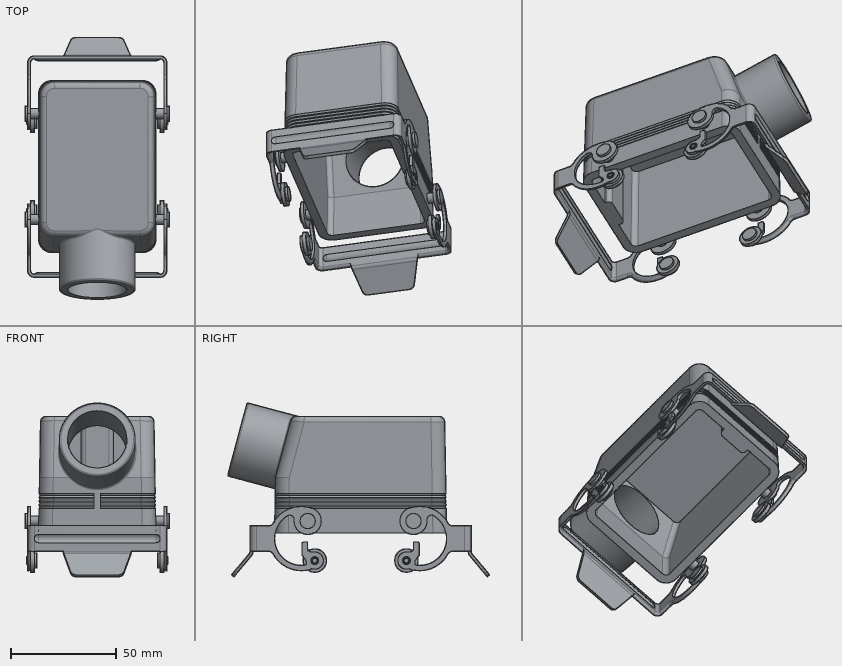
import cadquery as cq
import math


HOOD_LENGTH = 81.8
HOOD_WIDTH = 55.8
HOOD_HEIGHT = 55.5
CORNER_RADIUS = 6.6
TOP_FILLET = 2.9
DRAFT = math.tan(math.radians(1.0))
SLOPE_START = 26.4
ENTRY_ANGLE = 15.0
WALL = 4.1
FRONT_WALL = 5.2
ROOF = 4.0
SLOPE = math.tan(math.radians(ENTRY_ANGLE))

GROOVE_COUNT = 4
GROOVE_BOTTOM = 11.5
GROOVE_BAND = 7.2
GROOVE_PITCH = GROOVE_BAND / GROOVE_COUNT
GROOVE_DEPTH = 0.5
GROOVE_GAP = 3.2

RIB_WIDTH = 15.4
RIB_DEPTH = 3.1
RIB_ROUND = 2.1

MOUTH_Y = -58.5
MOUTH_Z = 44.5
ENTRY_RADIUS = 18.0
ENTRY_LENGTH = 31.1
BORE_RADIUS = 14.0
MOUTH_ROUND = 0.7
ROOT_FILLET = 0.5

SHEET = 1.5
LEVER_WIDTH = 66.1
LEVER_REACH = 52.6
STRIP_HEIGHT = 12.2
BEND_RADIUS = 3.2
RING_Y = 28.1
RING_Z = -2.6
RING_OUTER = 15.3
RING_INNER = 12.7
NECK_FILLET = 2.5
PIVOT_Y = 25.1
PIVOT_Z = 5.7
NOTCH_FILLET = 2.1
HOOK_RADIUS = 4.1
HOOK_NOTCH_FILLET = 1.0
HORN_OUTER_Y = 27.8
HORN_INNER_Y = 25.1
HORN_TOP = -4.2
HORN_FOOT = -10.6
HORN_ROUND = 0.7
HORN_FILLET = 1.7
PLATE_OUTER = LEVER_WIDTH / 2
PLATE_INNER = PLATE_OUTER - SHEET
STRIP_TOP = RING_Z + STRIP_HEIGHT / 2
STRIP_BOTTOM = RING_Z - STRIP_HEIGHT / 2
EYE_RADIUS = RING_OUTER - math.hypot(RING_Y - PIVOT_Y, RING_Z - PIVOT_Z)

BEAD_LENGTH = 55.8
BEAD_WIDTH = 4.0
BEAD_DEPTH = 0.9

TAB_ANGLE = 40.0
TAB_NECK = 0.7
TAB_LENGTH = 13.5
TAB_ROOT_WIDTH = 31.8
TAB_TIP_WIDTH = 24.1
TAB_ROUND = 2.7
TAB_BEND_RADIUS = 1.2
TAB_ROOT_FILLET = 1.2

PIN_RADIUS = 2.5
PIN_HEAD_RADIUS = 3.6
PIN_SPAN = 68.5
PIN_HEAD_FACE = PIN_SPAN / 2

ROLLER_Y = 21.8
ROLLER_Z = -13.0
ROLLER_RADIUS = 5.6
ROLLER_THICKNESS = 1.7
HUB_RADIUS = 3.6
HUB_THICKNESS = 1.1
STEM_RADIUS = 1.9
STEM_CHAMFER = 0.2
STEM_PROUD = 0.5
STEM_FACE = PLATE_OUTER + STEM_PROUD
STEM_RECESS_RADIUS = 1.1
STEM_RECESS_DEPTH = 0.4


def hood_section(z, inset, front, radius):
    """Wire of the rounded hood rectangle at height z, its sides and rear moved inwards by 'inset'."""
    half_width = HOOD_WIDTH / 2 - DRAFT * z - inset
    rear = HOOD_LENGTH / 2 - DRAFT * z - inset
    outline = cq.Sketch().rect(2 * half_width, rear - front).vertices().fillet(radius)
    placed = outline.reset().faces().val().moved(cq.Location(cq.Vector(0, (rear + front) / 2, z)))
    return placed.outerWire()


def upright_body(levels, wall=0.0):
    """Body with an upright front through (height, extra inset) levels, 'wall' inside the outer faces."""
    wires = []
    for z, depth in levels:
        inset = wall + depth
        front = -HOOD_LENGTH / 2 + DRAFT * z + inset
        wires.append(hood_section(z, inset, front, CORNER_RADIUS - wall))
    return cq.Workplane(cq.Solid.makeLoft(wires, True))


def leaning_body(top, wall=0.0, front_wall=0.0):
    """Body with a leaning front over the whole height, which trims the upright body above SLOPE_START."""
    kink = -HOOD_LENGTH / 2 + DRAFT * SLOPE_START
    wires = []
    for z in (0.0, top):
        front = kink + SLOPE * (z - SLOPE_START) + front_wall / math.cos(math.radians(ENTRY_ANGLE))
        wires.append(hood_section(z, wall, front, CORNER_RADIUS - wall))
    return cq.Workplane(cq.Solid.makeLoft(wires, True))


def make_shell():
    """Outer hood body with V grooves, interrupted by a plain strip at the front."""
    levels = [(0.0, 0.0)]
    for index in range(GROOVE_COUNT):
        edge = GROOVE_BOTTOM + index * GROOVE_PITCH
        levels.append((edge, 0.0))
        levels.append((edge + GROOVE_PITCH / 2, GROOVE_DEPTH))
    levels.append((GROOVE_BOTTOM + GROOVE_BAND, 0.0))
    levels.append((HOOD_HEIGHT, 0.0))
    shell = upright_body(levels).intersect(leaning_body(HOOD_HEIGHT))
    shell = shell.faces(">Z").edges().fillet(TOP_FILLET)
    plain = upright_body([(0.0, 0.0), (HOOD_HEIGHT, 0.0)])
    strip = cq.Workplane().box(GROOVE_GAP, HOOD_LENGTH / 2, GROOVE_BAND, centered=(True, False, False))
    strip = strip.translate((0, -HOOD_LENGTH / 2, GROOVE_BOTTOM))
    return shell.union(plain.intersect(strip))


def entry_plane():
    """Plane of the entry mouth; its normal runs inwards along the entry axis."""
    angle = math.radians(ENTRY_ANGLE)
    inward = (0, math.cos(angle), -math.sin(angle))
    return cq.Plane(origin=(0, MOUTH_Y, MOUTH_Z), xDir=(1, 0, 0), normal=inward)


def make_entry():
    """Round entry neck, still solid, with a rounded mouth edge."""
    neck = cq.Workplane(entry_plane()).circle(ENTRY_RADIUS).extrude(ENTRY_LENGTH)
    return neck.edges(cq.NearestToPointSelector((0, MOUTH_Y, MOUTH_Z))).fillet(MOUTH_ROUND)


def make_cavity():
    """Hollow of the hood with a rounded rib left standing on the rear wall."""
    cavity_top = HOOD_HEIGHT - ROOF
    cavity = upright_body([(0.0, 0.0), (cavity_top, 0.0)], WALL)
    cavity = cavity.intersect(leaning_body(cavity_top, WALL, FRONT_WALL))
    rib_face = HOOD_LENGTH / 2 - WALL - RIB_DEPTH
    rib = cq.Workplane().box(RIB_WIDTH, HOOD_LENGTH, HOOD_HEIGHT, centered=(True, False, False))
    rib = rib.translate((0, rib_face, 0)).edges("|Z and <Y").fillet(RIB_ROUND)
    return cavity.cut(rib)


def x_cylinder(radius, start, end, y, z):
    """Cylinder along X between two X positions."""
    return cq.Workplane("YZ", origin=(start, 0, 0)).center(y, z).circle(radius).extrude(end - start)


def make_pin():
    """Headed pivot pin on the +X, +Y wall, rooted half way into the wall."""
    root = HOOD_WIDTH / 2 - WALL / 2
    stem = x_cylinder(PIN_RADIUS, root, PIN_HEAD_FACE, PIVOT_Y, PIVOT_Z)
    return stem.union(x_cylinder(PIN_HEAD_RADIUS, PLATE_OUTER, PIN_HEAD_FACE, PIVOT_Y, PIVOT_Z))


def join_entry(shell):
    """Shell with the entry neck joined on and the junction rounded."""
    joined = shell.union(make_entry())
    neck_middle = entry_plane().toWorldCoords((0, 0, ENTRY_LENGTH / 4)).toTuple()
    neck_face = joined.faces("%CYLINDER").faces(cq.NearestToPointSelector(neck_middle))
    return neck_face.edges("not (%LINE or %CIRCLE)").fillet(ROOT_FILLET)


def make_hood():
    """Hollow hood with its cable entry and four pivot pins."""
    hood = join_entry(make_shell()).cut(make_cavity())
    hood = hood.cut(cq.Workplane(entry_plane()).circle(BORE_RADIUS).extrude(ENTRY_LENGTH))
    pin = make_pin()
    for half in (pin, pin.mirror("YZ")):
        hood = hood.union(half).union(half.mirror("XZ"))
    return hood


def circle_crossing(radius_a, y_b, z_b, radius_b):
    """The +Y crossing of a circle about the ring centre with a circle about (y_b, z_b)."""
    dy = y_b - RING_Y
    dz = z_b - RING_Z
    distance = math.hypot(dy, dz)
    along = (radius_a**2 - radius_b**2 + distance**2) / (2 * distance)
    across = math.sqrt(radius_a**2 - along**2)
    crossings = [
        (RING_Y + (along * dy - side * dz) / distance, RING_Z + (along * dz + side * dy) / distance)
        for side in (-across, across)
    ]
    return max(crossings)


def plate_box(y_min, y_max, z_min, z_max):
    """Block as thick as the side plate."""
    box = cq.Workplane().box(SHEET, y_max - y_min, z_max - z_min, centered=False)
    return box.translate((PLATE_INNER, y_min, z_min))


def plate_disc(radius, y, z):
    """Disc as thick as the side plate."""
    return x_cylinder(radius, PLATE_INNER, PLATE_OUTER, y, z)


def fillet_plate_corner(plate, y, z, radius):
    """Round the edge across the sheet nearest to (y, z)."""
    middle = (PLATE_INNER + SHEET / 2, y, z)
    return plate.edges("|X").edges(cq.NearestToPointSelector(middle)).fillet(radius)


def make_side_plate():
    """Open ring with pivot eye, hook and horn, on the +X side."""
    plate = plate_disc(RING_OUTER, RING_Y, RING_Z)
    plate = plate.union(plate_box(RING_Y, LEVER_REACH - BEND_RADIUS, STRIP_BOTTOM, STRIP_TOP))
    neck_y = RING_Y + math.sqrt(RING_OUTER**2 - (STRIP_HEIGHT / 2) ** 2)
    for neck_z in (STRIP_BOTTOM, STRIP_TOP):
        plate = fillet_plate_corner(plate, neck_y, neck_z, NECK_FILLET)
    plate = plate.cut(plate_disc(RING_INNER, RING_Y, RING_Z))

    plate = plate.cut(plate_box(0, PIVOT_Y, RING_Z, RING_Z + RING_OUTER))
    plate = plate.cut(plate_box(0, ROLLER_Y, RING_Z - RING_OUTER, RING_Z))

    plate = plate.union(plate_disc(EYE_RADIUS, PIVOT_Y, PIVOT_Z))
    plate = fillet_plate_corner(
        plate, *circle_crossing(RING_INNER, PIVOT_Y, PIVOT_Z, EYE_RADIUS), NOTCH_FILLET
    )

    shoulder = ROLLER_Z + HOOK_RADIUS
    horn = (
        cq.Workplane("YZ", origin=(PLATE_INNER, 0, 0))
        .moveTo(HORN_OUTER_Y, HORN_TOP)
        .lineTo(HORN_INNER_Y, HORN_TOP)
        .lineTo(HORN_INNER_Y, shoulder)
        .lineTo(ROLLER_Y, shoulder)
        .lineTo(ROLLER_Y, ROLLER_Z)
        .lineTo(ROLLER_Y + HOOK_RADIUS, ROLLER_Z)
        .lineTo(HORN_OUTER_Y, HORN_FOOT)
        .close()
        .extrude(SHEET)
    )
    horn = fillet_plate_corner(horn, HORN_OUTER_Y, HORN_TOP, HORN_ROUND)
    horn = fillet_plate_corner(horn, HORN_INNER_Y, shoulder, HORN_FILLET)
    plate = plate.union(plate_disc(HOOK_RADIUS, ROLLER_Y, ROLLER_Z))
    plate = fillet_plate_corner(
        plate, *circle_crossing(RING_INNER, ROLLER_Y, ROLLER_Z, HOOK_RADIUS), HOOK_NOTCH_FILLET
    )
    plate = plate.union(horn)

    plate = plate.cut(plate_disc(PIN_RADIUS, PIVOT_Y, PIVOT_Z))
    return plate.cut(plate_disc(STEM_RADIUS, ROLLER_Y, ROLLER_Z))


def make_strip():
    """Cross strip with its two bends."""
    strip_start = LEVER_REACH - BEND_RADIUS
    outer = cq.Workplane("XY", origin=(0, 0, STRIP_BOTTOM)).rect(LEVER_WIDTH, 2 * LEVER_REACH)
    outer = outer.extrude(STRIP_HEIGHT).edges("|Z").fillet(BEND_RADIUS)
    inner = cq.Workplane("XY", origin=(0, 0, STRIP_BOTTOM)).rect(
        LEVER_WIDTH - 2 * SHEET, 2 * (LEVER_REACH - SHEET)
    )
    inner = inner.extrude(STRIP_HEIGHT).edges("|Z").fillet(BEND_RADIUS - SHEET)
    keep = cq.Workplane().box(LEVER_WIDTH, LEVER_REACH, STRIP_HEIGHT, centered=(True, False, False))
    keep = keep.translate((0, strip_start, STRIP_BOTTOM))
    return outer.cut(inner).intersect(keep)


def make_bead(face_y):
    """Shallow bead with domed ends, swelling towards -Y from the plane Y = face_y."""
    half = BEAD_WIDTH / 2
    end_x = BEAD_LENGTH / 2
    bar = (
        cq.Workplane("YZ", origin=(-end_x, face_y, RING_Z))
        .moveTo(0, -half)
        .threePointArc((-BEAD_DEPTH, 0), (0, half))
        .close()
        .extrude(BEAD_LENGTH)
    )
    sphere_radius = (half**2 + BEAD_DEPTH**2) / (2 * BEAD_DEPTH)
    ball = cq.Workplane().sphere(sphere_radius).translate((0, sphere_radius - BEAD_DEPTH, 0))
    front_half = cq.Workplane().box(BEAD_WIDTH * 2, sphere_radius, BEAD_WIDTH * 2)
    dome = ball.intersect(front_half.translate((0, -sphere_radius / 2, 0)))
    for x in (-end_x, end_x):
        bar = bar.union(dome.translate((x, face_y, RING_Z)))
    return bar


def make_tab():
    """Finger tab bent outwards below the cross strip."""
    lean = math.radians(TAB_ANGLE)
    bend_z = STRIP_BOTTOM - TAB_NECK
    tip_y = LEVER_REACH + TAB_LENGTH * math.sin(lean)
    tip_z = bend_z - TAB_LENGTH * math.cos(lean)
    under_y = tip_y - SHEET * math.cos(lean)
    under_z = tip_z - SHEET * math.sin(lean)
    bend_inner_z = bend_z - SHEET * math.tan(lean / 2)
    profile = (
        cq.Workplane("YZ", origin=(-TAB_ROOT_WIDTH, 0, 0))
        .moveTo(LEVER_REACH, RING_Z)
        .lineTo(LEVER_REACH, bend_z)
        .lineTo(tip_y, tip_z)
        .lineTo(under_y, under_z)
        .lineTo(LEVER_REACH - SHEET, bend_inner_z)
        .lineTo(LEVER_REACH - SHEET, RING_Z)
        .close()
        .extrude(2 * TAB_ROOT_WIDTH)
    )
    for y, z, radius in (
        (LEVER_REACH, bend_z, TAB_BEND_RADIUS),
        (LEVER_REACH - SHEET, bend_inner_z, TAB_BEND_RADIUS + SHEET),
    ):
        profile = profile.edges("|X").edges(cq.NearestToPointSelector((0, y, z))).fillet(radius)
    root = TAB_ROOT_WIDTH / 2
    tip = TAB_TIP_WIDTH / 2
    overlap = STRIP_HEIGHT / 2
    flare = overlap * (root - tip) / TAB_LENGTH
    sheet_normal = cq.Vector(0, math.cos(lean), math.sin(lean))
    sheet_plane = cq.Plane(origin=(0, LEVER_REACH, bend_z), xDir=(-1, 0, 0), normal=sheet_normal)
    trapezoid = (
        cq.Workplane(sheet_plane)
        .moveTo(-root - flare, overlap)
        .lineTo(root + flare, overlap)
        .lineTo(tip, -TAB_LENGTH)
        .lineTo(-tip, -TAB_LENGTH)
        .close()
        .extrude(LEVER_REACH / 2, both=True)
        .edges(cq.selectors.ParallelDirSelector(sheet_normal))
        .edges("<Z")
        .fillet(TAB_ROUND)
    )
    return profile.intersect(trapezoid)


def make_lever():
    """Lever on the +Y side: two side plates, beaded cross strip and finger tab."""
    side_plate = make_side_plate()
    lever = make_strip().union(side_plate).union(side_plate.mirror("YZ")).union(make_tab())
    for x in (-TAB_ROOT_WIDTH / 2, TAB_ROOT_WIDTH / 2):
        corner = cq.NearestToPointSelector((x, LEVER_REACH - SHEET / 2, STRIP_BOTTOM))
        lever = lever.edges("|Y").edges(corner).fillet(TAB_ROOT_FILLET)
    return lever.union(make_bead(LEVER_REACH - SHEET)).cut(make_bead(LEVER_REACH))


def make_roller():
    """Roller at the +X, +Y hook: disc and hub inside the plate, stem through it."""
    disc_face = PLATE_INNER - ROLLER_THICKNESS
    roller = x_cylinder(ROLLER_RADIUS, disc_face, PLATE_INNER, ROLLER_Y, ROLLER_Z)
    roller = roller.union(x_cylinder(HUB_RADIUS, disc_face - HUB_THICKNESS, disc_face, ROLLER_Y, ROLLER_Z))
    stem = x_cylinder(STEM_RADIUS, PLATE_INNER, STEM_FACE, ROLLER_Y, ROLLER_Z)
    roller = roller.union(stem.faces(">X").chamfer(STEM_CHAMFER))
    recess_floor = STEM_FACE - STEM_RECESS_DEPTH
    return roller.cut(x_cylinder(STEM_RECESS_RADIUS, recess_floor, STEM_FACE, ROLLER_Y, ROLLER_Z))


hood = make_hood()
rear_lever = make_lever()
levers = [rear_lever, rear_lever.rotate((0, 0, 0), (0, 0, 1), 180)]

corner_roller = make_roller()
rollers = []
for side_roller in (corner_roller, corner_roller.mirror("YZ")):
    rollers.append(side_roller)
    rollers.append(side_roller.mirror("XZ"))

bodies = [hood, *levers, *rollers]
result = cq.Compound.makeCompound([body.solids().val() for body in bodies])